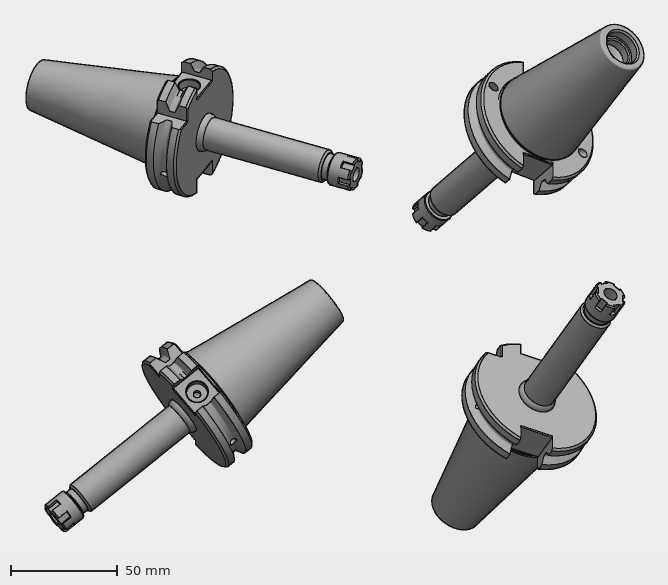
import cadquery as cq
import math

overall_length = 166.4

taper_length = 68.9
taper_big_diameter = 44.8
taper_ratio = 7 / 24
taper_end_rounding = 1.0

relief_start = 69.5
relief_depth = 0.3
relief_wall = 0.5
relief_fillet = 0.7

flange_start = 71.4
flange_end = 87.5
flange_diameter = 63.5
flange_chamfer = 1.0
groove_center = 79.5
groove_floor_diameter = 56.2
groove_floor_width = 2.7
groove_half_angle = 30.0
groove_fillet = 0.7

slot_width = 16.6
top_slot_floor = 24.5
bottom_slot_floor = -22.5
notch_y = -18.5
notch_z = 18.1
cut_edge_chamfer = 0.5

chip_diameter = 10.0
chip_depth = 4.7
chip_chamfer = 0.3
chip_pilot_diameter = 3.5
chip_pilot_depth = 3.3

coolant_angle = 20.0
coolant_circle_diameter = 53.5
coolant_diameter = 4.2
coolant_slope = 35.0
screw_hole_diameter = 3.7

shank_diameter = 16.0
shank_flare_length = 3.0
shank_flare_height = 1.3
shank_end = 151.4
shank_end_chamfer = 1.0
shank_neck_diameter = 12.8
neck_chamfer = 0.7
nose_diameter = 11.6
nose_end = 159.7

bore_diameter = 6.8
counterbore_diameter = 17.0
counterbore_depth = 5.2
counterbore_chamfer = 0.8
thread_diameter = 13.6
thread_chamfer = 0.7
thread_end = 10.0
drill_point_angle = 118.0

nut_start = 154.9
nut_diameter = 16.0
nut_front_chamfer = 0.7
nut_back_chamfer_length = 0.5
nut_back_chamfer_depth = 0.3
nut_slot_count = 6
nut_slot_width = 3.5
nut_slot_length = 5.7
nut_slot_floor_radius = 6.3


def cone_tip_length(diameter):
    """Height of a drill point of the given diameter."""
    return diameter / 2 / math.tan(math.radians(drill_point_angle / 2))


def turned(profile):
    """Revolve an (x, radius) profile about the X axis."""
    return profile.close().revolve(360, (0, 0, 0), (1, 0, 0))


def drilled(diameter, depth, start, direction):
    """A drill-shaped cutter: a cylinder with a conical tip beyond its depth."""
    radius = diameter / 2
    axis = cq.Vector(direction)
    origin = cq.Vector(start)
    cylinder = cq.Solid.makeCylinder(radius, depth, origin, axis)
    tip = cq.Solid.makeCone(radius, 0, cone_tip_length(diameter), origin + axis * depth, axis)
    return cq.Workplane(cylinder).union(cq.Workplane(tip))


def holder_blank():
    """Taper, relief, V-groove flange, shank and nose as one turned shape."""
    taper_big = taper_big_diameter / 2
    taper_small = taper_big - taper_length * taper_ratio / 2
    rounded_radius = taper_small + taper_end_rounding * taper_ratio / 2
    relief = taper_big - relief_depth
    rim = flange_diameter / 2
    floor = groove_floor_diameter / 2
    floor_half = groove_floor_width / 2
    rim_half = floor_half + (rim - floor) * math.tan(math.radians(groove_half_angle))
    shank = shank_diameter / 2
    neck = shank_neck_diameter / 2
    nose = nose_diameter / 2
    flare_radius = (shank_flare_length**2 + shank_flare_height**2) / (2 * shank_flare_height)
    diagonal = math.sqrt(0.5)
    profile = (
        cq.Workplane("XZ")
        .lineTo(0, taper_small - taper_end_rounding)
        .threePointArc(
            (taper_end_rounding * (1 - diagonal), rounded_radius - taper_end_rounding * (1 - diagonal)),
            (taper_end_rounding, rounded_radius),
        )
        .lineTo(taper_length, taper_big)
        .lineTo(relief_start, taper_big)
        .lineTo(relief_start + relief_wall, relief)
        .lineTo(flange_start - relief_fillet, relief)
        .threePointArc(
            (flange_start - relief_fillet * (1 - diagonal), relief + relief_fillet * (1 - diagonal)),
            (flange_start, relief + relief_fillet),
        )
        .lineTo(flange_start, rim - flange_chamfer)
        .lineTo(flange_start + flange_chamfer, rim)
        .lineTo(groove_center - rim_half, rim)
        .lineTo(groove_center - floor_half, floor)
        .lineTo(groove_center + floor_half, floor)
        .lineTo(groove_center + rim_half, rim)
        .lineTo(flange_end - flange_chamfer, rim)
        .lineTo(flange_end, rim - flange_chamfer)
        .lineTo(flange_end, shank + shank_flare_height)
        .radiusArc((flange_end + shank_flare_length, shank), flare_radius)
        .lineTo(shank_end - shank_end_chamfer, shank)
        .lineTo(shank_end, shank - shank_end_chamfer)
        .lineTo(shank_end, neck)
        .lineTo(nut_start - neck_chamfer, neck)
        .lineTo(nut_start, nose)
        .lineTo(nose_end, nose)
        .lineTo(nose_end, 0)
    )
    floor_edges = cq.selectors.BoxSelector(
        (groove_center - groove_floor_width, -floor_half, -floor_half),
        (groove_center + groove_floor_width, floor_half, floor_half),
    )
    return turned(profile).edges(floor_edges).fillet(groove_fillet)


def holder_bore():
    """Counterbore, thread hole with drill point and through bore."""
    bore = bore_diameter / 2
    thread = thread_diameter / 2
    counterbore = counterbore_diameter / 2
    point_end = thread_end + cone_tip_length(thread_diameter) - cone_tip_length(bore_diameter)
    profile = (
        cq.Workplane("XZ")
        .lineTo(0, counterbore + counterbore_chamfer)
        .lineTo(counterbore_chamfer, counterbore)
        .lineTo(counterbore_depth, counterbore)
        .lineTo(counterbore_depth, thread + thread_chamfer)
        .lineTo(counterbore_depth + thread_chamfer, thread)
        .lineTo(thread_end, thread)
        .lineTo(point_end, bore)
        .lineTo(overall_length, bore)
        .lineTo(overall_length, 0)
    )
    return turned(profile)


def flared_cut(plane, length):
    """Block across the flange width, from its floor at local Y = 0 outward, with flared floor ends."""
    rim = flange_diameter / 2
    return (
        cq.Workplane(plane)
        .moveTo(flange_start, rim)
        .lineTo(flange_start, -cut_edge_chamfer)
        .lineTo(flange_start + cut_edge_chamfer, 0)
        .lineTo(flange_end - cut_edge_chamfer, 0)
        .lineTo(flange_end, -cut_edge_chamfer)
        .lineTo(flange_end, rim)
        .close()
        .extrude(length)
    )


def rim_cuts():
    """Two drive slots and the corner notch, across the full flange width."""
    rim = flange_diameter / 2
    slot = flared_cut("XZ", slot_width).translate((0, slot_width / 2, 0))
    top = slot.translate((0, 0, top_slot_floor))
    bottom = slot.rotate((0, 0, 0), (1, 0, 0), 180).translate((0, 0, bottom_slot_floor))
    notch_floor = flared_cut("XZ", rim).translate((0, notch_y, notch_z))
    notch_wall = flared_cut("XZ", -rim).rotate((0, 0, 0), (1, 0, 0), 90).translate((0, notch_y, notch_z))
    return top.union(bottom).union(notch_floor).union(notch_wall)


def chip_pocket():
    """Flat pocket with a chamfered mouth and a small drilled hole in its floor."""
    mouth = cq.Workplane("XY", origin=(groove_center, 0, top_slot_floor))
    pocket = mouth.circle(chip_diameter / 2).extrude(-chip_depth)
    pocket = pocket.faces(">Z").workplane().circle(chip_diameter / 2 + chip_chamfer).extrude(
        -chip_chamfer, taper=45
    )
    pilot = drilled(
        chip_pilot_diameter, chip_pilot_depth, (groove_center, 0, top_slot_floor - chip_depth), (0, 0, -1)
    )
    return pocket.union(pilot)


def coolant_holes(angle):
    """Sloped hole from the flange face and the radial screw hole it meets, at an angle from +Y."""
    slope = math.radians(coolant_slope)
    mouth_radius = coolant_circle_diameter / 2
    sloped_length = (groove_center - flange_start) / math.cos(slope)
    meeting_radius = mouth_radius - sloped_length * math.sin(slope)
    inward = cq.Vector(math.cos(slope), -math.sin(slope), 0)
    mouth = cq.Vector(flange_start, mouth_radius, 0)
    lead_in = coolant_diameter
    sloped = cq.Solid.makeCylinder(
        coolant_diameter / 2, lead_in + sloped_length, mouth - inward * lead_in, inward
    )
    rim = flange_diameter / 2
    radial = drilled(screw_hole_diameter, rim - meeting_radius, (groove_center, rim, 0), (0, -1, 0))
    return radial.union(cq.Workplane(sloped)).rotate((0, 0, 0), (1, 0, 0), angle)


def make_holder():
    """Turned holder with its bore, rim cuts, chip pocket and two opposite coolant holes."""
    holder = holder_blank().cut(holder_bore()).cut(rim_cuts()).cut(chip_pocket())
    for angle in (coolant_angle, coolant_angle + 180):
        holder = holder.cut(coolant_holes(angle))
    return holder


def make_nut():
    """Slotted ring nut that fits over the nose."""
    outer = nut_diameter / 2
    bore = bore_diameter / 2
    nose = nose_diameter / 2
    profile = (
        cq.Workplane("XZ")
        .moveTo(nut_start, nose)
        .lineTo(nut_start, outer - nut_back_chamfer_depth)
        .lineTo(nut_start + nut_back_chamfer_length, outer)
        .lineTo(overall_length - nut_front_chamfer, outer)
        .lineTo(overall_length, outer - nut_front_chamfer)
        .lineTo(overall_length, bore)
        .lineTo(nose_end, bore)
        .lineTo(nose_end, nose)
    )
    nut = turned(profile)
    slot = cq.Workplane("XY").box(nut_slot_length, outer, nut_slot_width, centered=(False, False, True))
    slot = slot.translate((overall_length - nut_slot_length, nut_slot_floor_radius, 0))
    for index in range(nut_slot_count):
        nut = nut.cut(slot.rotate((0, 0, 0), (1, 0, 0), index * 360 / nut_slot_count))
    return nut


holder = make_holder()
nut = make_nut()
result = cq.Compound.makeCompound([holder.val(), nut.val()])